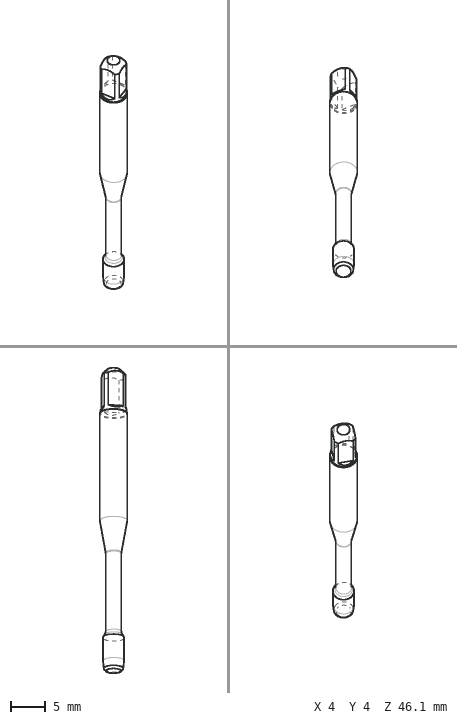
import cadquery as cq
import math

TOTAL_LENGTH = 46.1

HEAD_DIAMETER = 3.1
HEAD_TOP = 5.1
LEAD_TOP = 1.55
LEAD_END_DIAMETER = 2.85
TIP_DIAMETER = 2.15
TIP_CHAMFER_HEIGHT = 0.35

NECK_DIAMETER = 2.3
HEAD_CONE_ANGLE = 30.0
NECK_FILLET = 0.9
TAPER_BOTTOM = 18.05
TAPER_TOP = 23.0

SHANK_DIAMETER = 4.0
DRIVE_DIAMETER = 3.83
SHANK_TOP = 39.35
SHOULDER_HEIGHT = SHANK_DIAMETER / 2 - DRIVE_DIAMETER / 2
SQUARE_WIDTH = 3.15
SQUARE_BOTTOM = 40.15
DRIVE_TIP_DIAMETER = 1.85
FLAT_COUNT = 4


def make_head():
    """Threading head: cylinder, tapered lead and a chamfered tip."""
    return (
        cq.Workplane("XZ")
        .moveTo(0, 0)
        .lineTo(TIP_DIAMETER / 2, 0)
        .lineTo(LEAD_END_DIAMETER / 2, TIP_CHAMFER_HEIGHT)
        .lineTo(HEAD_DIAMETER / 2, LEAD_TOP)
        .lineTo(HEAD_DIAMETER / 2, HEAD_TOP)
        .lineTo(0, HEAD_TOP)
        .close()
        .revolve(360, (0, 0, 0), (0, 1, 0))
    )


def make_round_shank():
    """Turned shank, from the cone above the head to the chamfered drive end."""
    neck_radius = NECK_DIAMETER / 2
    drive_radius = DRIVE_DIAMETER / 2
    tip_radius = DRIVE_TIP_DIAMETER / 2
    head_cone_height = (HEAD_DIAMETER / 2 - neck_radius) / math.tan(math.radians(HEAD_CONE_ANGLE))
    head_cone_top = HEAD_TOP + head_cone_height
    drive_chamfer = drive_radius - tip_radius
    blank = (
        cq.Workplane("XZ")
        .moveTo(0, HEAD_TOP)
        .lineTo(HEAD_DIAMETER / 2, HEAD_TOP)
        .lineTo(neck_radius, head_cone_top)
        .lineTo(neck_radius, TAPER_BOTTOM)
        .lineTo(SHANK_DIAMETER / 2, TAPER_TOP)
        .lineTo(SHANK_DIAMETER / 2, SHANK_TOP)
        .lineTo(drive_radius, SHANK_TOP + SHOULDER_HEIGHT)
        .lineTo(drive_radius, TOTAL_LENGTH - drive_chamfer)
        .lineTo(tip_radius, TOTAL_LENGTH)
        .lineTo(0, TOTAL_LENGTH)
        .close()
        .revolve(360, (0, 0, 0), (0, 1, 0))
    )
    neck_ends = cq.selectors.BoxSelector(
        (-SHANK_DIAMETER, -SHANK_DIAMETER, head_cone_top - NECK_FILLET / 4),
        (SHANK_DIAMETER, SHANK_DIAMETER, TAPER_BOTTOM + NECK_FILLET / 4),
    )
    return blank.edges("%CIRCLE").edges(neck_ends).fillet(NECK_FILLET)


def make_flat_cutter():
    """Cutter for one flat of the square, with a 45 degree run-out at its foot."""
    flat_offset = SQUARE_WIDTH / 2
    outside = SHANK_DIAMETER / 2
    return (
        cq.Workplane("XZ")
        .moveTo(flat_offset, SQUARE_BOTTOM)
        .lineTo(outside, SQUARE_BOTTOM - (outside - flat_offset))
        .lineTo(outside, TOTAL_LENGTH)
        .lineTo(flat_offset, TOTAL_LENGTH)
        .close()
        .extrude(SHANK_DIAMETER / 2, both=True)
    )


def make_shank():
    """Turned shank with the square drive cut on its top end."""
    shank = make_round_shank()
    for index in range(FLAT_COUNT):
        angle = index * 360 / FLAT_COUNT
        shank = shank.cut(make_flat_cutter().rotate((0, 0, 0), (0, 0, 1), angle))
    return shank


head = make_head()
shank = make_shank()

result = cq.Compound.makeCompound([head.val(), shank.val()])